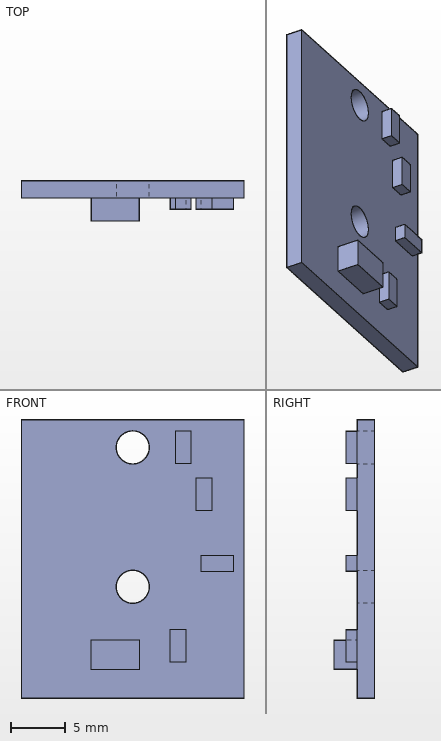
import cadquery as cq

board_width = 20.32
board_height = 25.4
total_depth = 3.7
connector_depth = 2.1
board_thickness = total_depth - connector_depth

hole_diameter = 3.0
hole_heights = [10.15, -2.55]

chip_length = 2.97
chip_width = 1.45
chip_depth = 1.02
upright_chip_centers = [(4.6, 10.15), (6.48, 5.9), (4.15, -7.92)]
flat_chip_center = (7.7, -0.4)

connector_width = 4.4
connector_height = 2.67
connector_center = (-1.6, -8.75)


def component(center, width, depth, height):
    """Rectangular block standing on the front face, centred at (x, z)."""
    x, z = center
    return cq.Workplane("XY").box(width, depth, height).translate((x, -depth / 2, z))


def make_board():
    """Flat plate with the mounting holes through its thickness."""
    plate = cq.Workplane("XY").box(board_width, board_thickness, board_height)
    plate = plate.translate((0, board_thickness / 2, 0))
    hole_centers = [(0, z) for z in hole_heights]
    holes = (
        cq.Workplane("XZ")
        .pushPoints(hole_centers)
        .circle(hole_diameter / 2)
        .extrude(-board_thickness)
    )
    return plate.cut(holes)


result = make_board()
for chip_center in upright_chip_centers:
    result = result.union(component(chip_center, chip_width, chip_depth, chip_length))
result = result.union(component(flat_chip_center, chip_length, chip_depth, chip_width))
result = result.union(
    component(connector_center, connector_width, connector_depth, connector_height)
)